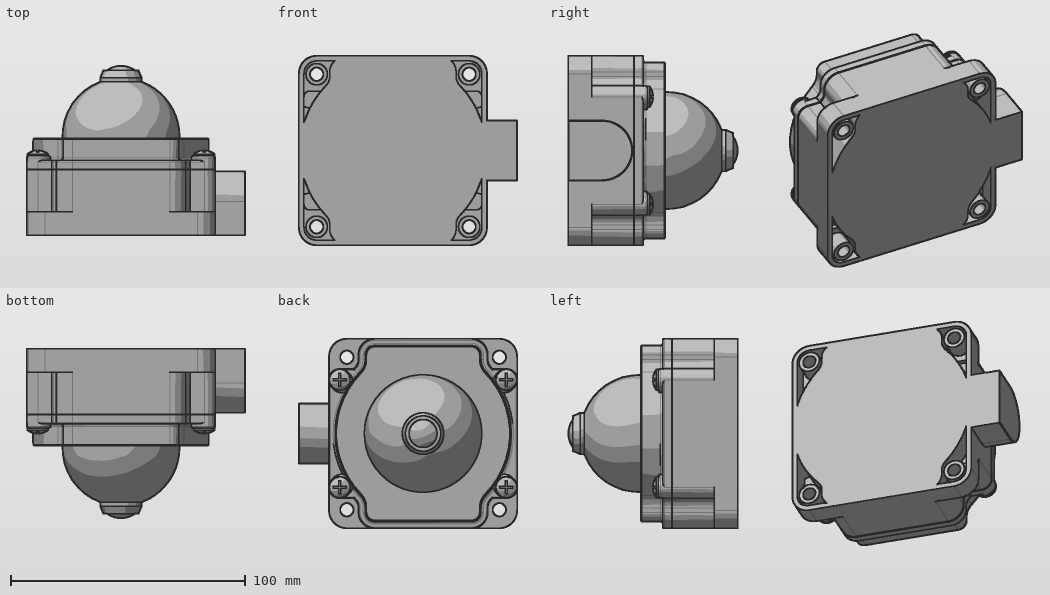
import cadquery as cq
import math


total_length = 93.1
width = 80.3
height = 80.8
flange_depth = 10.1
flange_corner = 7.6
wall = 2.2
seam_y = 27.9
seam_width = 0.3
seam_inset = 0.2
cover_y = 32.0
rim_fillet = 0.65

case_radius = 40.4
shoulder_x = 20.8
shoulder_radius = 6.8
neck_x = 32.3
neck_z = 31.6

plate_inset = 2.9
plate_y = 41.45
plate_rim = 0.6
plate_foot = 0.9

post_z = 22.9
post_radius = 4.7
post_x = width / 2 - post_radius
boss_reach = 1.2
boss_top = 33.8
boss_rim = 0.8

screw_radius = 4.5
screw_head_y = 34.65
screw_top = 36.2
recess_width = 0.8
recess_length = 5.6
recess_depth = 1.4

hole_offset = 32.5
hole_diameter = 5.6
sleeve_diameter = 9.1
case_skin = 0.65
pocket_depth = flange_depth - wall
pillar_radius = 4.75
pillar_end = flange_depth
cavity_depth = seam_y - wall

entry_length = total_length - width
entry_width = 25.7
entry_straight = 14.5
entry_chamfer = 0.3

dome_radius = 25.1
dome_centre_y = 42.0
collar_radius = 8.85
cone_y = 67.2
button_y = 70.3
cone_radius = 7.5
button_radius = 6.0
total_depth = 72.3

OVERLAP = 0.9


def on_y(y):
    """Workplane facing the flange side, at height y along the housing axis."""
    return cq.Workplane("XZ", origin=(0, y, 0))


def rounded_block(size_x, size_z, corner, y0, y1):
    block = on_y(y0).rect(size_x, size_z).extrude(y0 - y1)
    return block.edges("|Y").fillet(corner)


def case_block(inset, y0, y1):
    """Prism of the case outline, moved inward by inset all round."""
    half_height = height / 2 - inset
    radius = case_radius - inset
    shoulder = shoulder_radius - inset
    shoulder_z = half_height - shoulder
    side_x = shoulder_x + shoulder
    neck_radius = neck_x - side_x
    neck_angle = math.atan2(neck_z, neck_x)
    meet_x = radius * math.cos(neck_angle)
    meet_z = radius * math.sin(neck_angle)
    neck_mid_angle = math.pi + neck_angle / 2
    neck_mid_x = neck_x + neck_radius * math.cos(neck_mid_angle)
    neck_mid_z = neck_z + neck_radius * math.sin(neck_mid_angle)
    diagonal = shoulder * math.sqrt(0.5)
    half = (
        on_y(y0)
        .moveTo(0, half_height)
        .lineTo(shoulder_x, half_height)
        .threePointArc((shoulder_x + diagonal, shoulder_z + diagonal), (side_x, shoulder_z))
        .lineTo(side_x, neck_z)
        .threePointArc((neck_mid_x, neck_mid_z), (meet_x, meet_z))
        .threePointArc((radius, 0), (meet_x, -meet_z))
        .threePointArc((neck_mid_x, -neck_mid_z), (side_x, -neck_z))
        .lineTo(side_x, -shoulder_z)
        .threePointArc((shoulder_x + diagonal, -shoulder_z - diagonal), (shoulder_x, -half_height))
        .lineTo(0, -half_height)
        .close()
        .extrude(y0 - y1)
    )
    return half.union(half.mirror("YZ"), clean=True)


def post_block(inset, y0, y1):
    """Rounded rectangle that carries the four screw posts."""
    size_x = width - 2 * inset
    size_z = 2 * (post_z + post_radius - inset)
    return rounded_block(size_x, size_z, post_radius - inset, y0, y1)


def body_block(inset, y0, y1):
    """Full case section: shouldered outline with the post block, trimmed to the width."""
    limit = on_y(y0).rect(width - 2 * inset, height).extrude(y0 - y1)
    return case_block(inset, y0, y1).intersect(limit).union(post_block(inset, y0, y1))


def at_corners(offset_x, offset_z):
    return [(sx * offset_x, sz * offset_z) for sx in (-1, 1) for sz in (-1, 1)]


def discs(points, radius, y0, y1):
    return on_y(y0).pushPoints(points).circle(radius).extrude(y0 - y1)


hole_points = at_corners(hole_offset, hole_offset)
screw_points = at_corners(post_x, post_z)


def make_housing():
    """Flange, case, recessed seam line and cover stacked along +Y."""
    flange = rounded_block(width, height, flange_corner, 0, flange_depth)
    case = body_block(0, flange_depth - OVERLAP, seam_y)
    seam = body_block(seam_inset, seam_y - OVERLAP, seam_y + seam_width + OVERLAP)
    cover = body_block(0, seam_y + seam_width, cover_y).faces(">Y").edges().fillet(rim_fillet)
    return flange.union(case).union(seam).union(cover)


def make_plate():
    plate = case_block(plate_inset, cover_y - OVERLAP, plate_y)
    return plate.faces(">Y").edges().chamfer(plate_rim)


def fillet_plate_foot(housing):
    """Round the inner corner where the raised plate stands on the cover."""
    ledge = housing.faces(cq.selectors.NearestToPointSelector((0, cover_y, 0))).val()
    foot_edges = ledge.innerWires()[0].Edges()
    return cq.Workplane(housing.val().fillet(plate_foot, foot_edges))


def make_boss(x, z):
    """Raised pad under one screw, stretched diagonally inward into the raised plate."""
    sign_x = math.copysign(1, x)
    sign_z = math.copysign(1, z)
    base_y = cover_y - rim_fillet
    half_reach = boss_reach / 2 * math.sqrt(0.5)
    boss = (
        on_y(base_y)
        .center(x - sign_x * half_reach, z - sign_z * half_reach)
        .slot2D(boss_reach + 2 * post_radius, 2 * post_radius, 45 * sign_x * sign_z)
        .extrude(base_y - boss_top)
    )
    return boss.faces(">Y").edges().fillet(boss_rim)


def make_screw(x, z):
    """Screw head with a domed top, revolved about its own axis."""
    rise = screw_top - screw_head_y
    dome_sphere = (screw_radius ** 2 + rise ** 2) / (2 * rise)
    mid_x = screw_radius / 2
    mid_y = screw_top - dome_sphere + math.sqrt(dome_sphere ** 2 - mid_x ** 2)
    head = (
        cq.Workplane("XY")
        .moveTo(0, boss_top - OVERLAP)
        .lineTo(screw_radius - boss_rim, boss_top - OVERLAP)
        .lineTo(screw_radius - boss_rim, boss_top)
        .lineTo(screw_radius, boss_top)
        .lineTo(screw_radius, screw_head_y)
        .threePointArc((mid_x, mid_y), (0, screw_top))
        .close()
        .revolve(360, (0, 0, 0), (0, 1, 0))
    )
    recess = on_y(screw_top).rect(recess_width, recess_length).extrude(recess_depth)
    recess = recess.union(recess.rotate((0, 0, 0), (0, 1, 0), 90))
    return head.cut(recess).translate((x, 0, z))


def make_cable_entry():
    """Block with a half-round back that sticks out on the +X side."""
    arch_radius = entry_width / 2
    return (
        cq.Workplane("YZ", origin=(width / 2 - OVERLAP, 0, 0))
        .moveTo(0, -arch_radius)
        .lineTo(entry_straight, -arch_radius)
        .threePointArc((entry_straight + arch_radius, 0), (entry_straight, arch_radius))
        .lineTo(0, arch_radius)
        .close()
        .extrude(OVERLAP + entry_length)
        .faces(">X")
        .edges()
        .chamfer(entry_chamfer)
    )


def make_dome():
    """Dome, collar, cone and rounded button revolved about the Y axis."""
    collar_meet_y = dome_centre_y + math.sqrt(dome_radius ** 2 - collar_radius ** 2)
    dome_base_y = plate_y - OVERLAP
    dome_base_x = math.sqrt(dome_radius ** 2 - (dome_centre_y - dome_base_y) ** 2)
    dome_mid = dome_radius * math.sqrt(0.5)
    rise = total_depth - button_y
    button_sphere = (button_radius ** 2 + rise ** 2) / (2 * rise)
    button_mid_x = button_radius / 2
    button_mid_y = total_depth - button_sphere + math.sqrt(button_sphere ** 2 - button_mid_x ** 2)
    return (
        cq.Workplane("XY")
        .moveTo(0, dome_base_y)
        .lineTo(dome_base_x, dome_base_y)
        .threePointArc((dome_mid, dome_centre_y + dome_mid), (collar_radius, collar_meet_y))
        .lineTo(collar_radius, cone_y)
        .lineTo(cone_radius, button_y)
        .lineTo(button_radius, button_y)
        .threePointArc((button_mid_x, button_mid_y), (0, total_depth))
        .close()
        .revolve(360, (0, 0, 0), (0, 1, 0))
    )


def make_pockets():
    """Corner pockets of the flange, which run on inside the screw posts."""
    size_x = width - 2 * wall
    size_z = height - 2 * wall
    shallow = rounded_block(size_x, size_z, flange_corner - wall, 0, pocket_depth)
    shallow = shallow.cut(discs(hole_points, sleeve_diameter / 2, 0, pocket_depth))
    deep = post_block(wall, 0, cavity_depth)
    deep = deep.cut(discs(screw_points, pillar_radius, pillar_end, cavity_depth))
    return shallow.union(deep).cut(case_block(case_skin, 0, cavity_depth))


result = fillet_plate_foot(make_housing().union(make_plate()))
for screw_x, screw_z in screw_points:
    result = result.union(make_boss(screw_x, screw_z))
    result = result.union(make_screw(screw_x, screw_z))
result = result.union(make_cable_entry()).union(make_dome())
result = result.cut(make_pockets())
result = result.cut(discs(hole_points, hole_diameter / 2, 0, flange_depth))